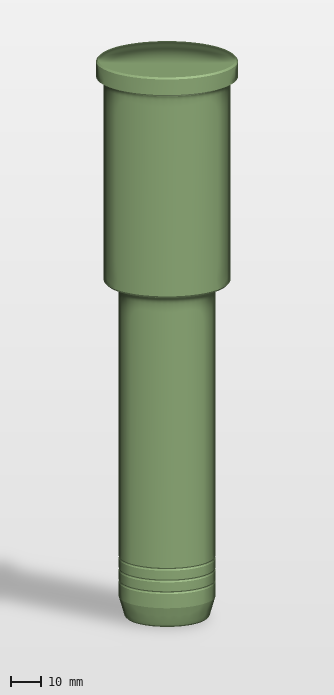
import cadquery as cq

total_length = 191.0
head_radius = 23.5
head_height = 6.0
head_chamfer = 0.5
body_radius = 21.0
body_bottom = 114.6
body_chamfer = 0.8
relief_depth = 0.5
relief_width = 1.1
shaft_radius = 16.0
tip_height = 7.0
tip_radius = 14.1
tip_chamfer = 0.5
groove_count = 3
lowest_groove = 12.5
groove_pitch = 4.0
groove_width = 1.0
groove_depth = 0.4


def cylinder(radius, bottom, top):
    return cq.Workplane("XY").workplane(offset=bottom).circle(radius).extrude(top - bottom)


def make_head():
    head = cylinder(head_radius, total_length - head_height, total_length)
    return head.faces(">Z").chamfer(head_chamfer)


def make_body():
    body = cylinder(body_radius, body_bottom, total_length - head_height)
    return body.faces("<Z").chamfer(body_chamfer)


def make_shaft():
    """Revolved shaft with a conical tip and a small chamfer around its end."""
    return (
        cq.Workplane("XZ")
        .lineTo(tip_radius - tip_chamfer, 0)
        .lineTo(tip_radius, tip_chamfer)
        .lineTo(shaft_radius, tip_height)
        .lineTo(shaft_radius, body_bottom)
        .lineTo(0, body_bottom)
        .close()
        .revolve(360, (0, 0), (0, 1))
    )


def make_groove(radius, center_height, width, depth):
    """Ring with a V-shaped inner edge, which cuts one groove around a cylinder."""
    bottom = center_height - width / 2
    top = center_height + width / 2
    return (
        cq.Workplane("XZ")
        .moveTo(radius, bottom)
        .lineTo(radius - depth, center_height)
        .lineTo(radius, top)
        .lineTo(radius + depth, top)
        .lineTo(radius + depth, bottom)
        .close()
        .revolve(360, (0, 0), (0, 1))
    )


result = make_shaft().union(make_body()).union(make_head())

relief_center = total_length - head_height - relief_width / 2
result = result.cut(make_groove(body_radius, relief_center, relief_width, relief_depth))

for index in range(groove_count):
    groove_center = lowest_groove + index * groove_pitch
    result = result.cut(make_groove(shaft_radius, groove_center, groove_width, groove_depth))